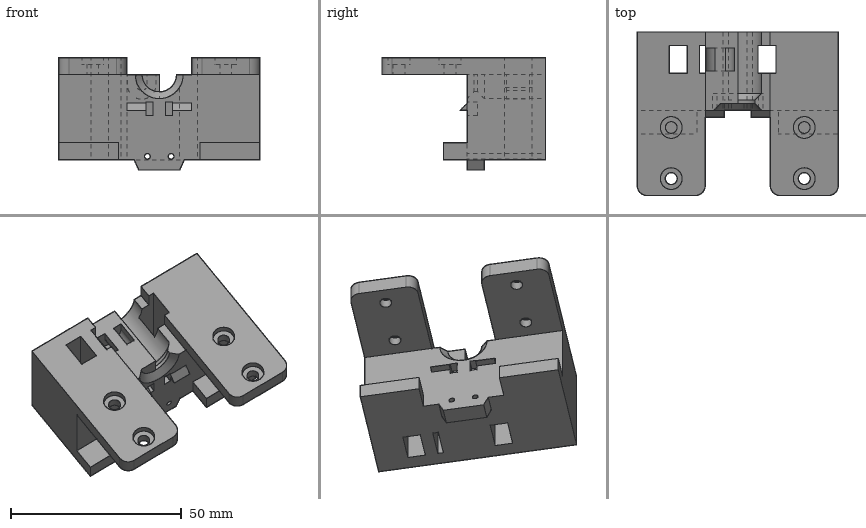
import cadquery as cq


WIDTH = 59.0
HEIGHT = 30.0
BODY_DEPTH = 23.0
ARM_LENGTH = 48.0
ARM_WIDTH = 20.0
ARM_THICKNESS = 5.0
ARM_CORNER_RADIUS = 3.0
ARM_INNER_X = WIDTH / 2 - ARM_WIDTH
SADDLE_Z = HEIGHT - ARM_THICKNESS

SCREW_X = WIDTH / 2 - ARM_WIDTH / 2
SCREW_DEPTHS = (28.0, 43.0)
SCREW_DIAMETER = 3.4
HEAD_DIAMETER = 6.4
HEAD_RECESS = 2.0

FOOT_WIDTH = 17.5
FOOT_LENGTH = 30.0
FOOT_HEIGHT = 5.0

TAB_TOP_WIDTH = 14.75
TAB_BOTTOM_WIDTH = 12.05
TAB_HEIGHT = 3.0
TAB_LENGTH = 5.0

PIN_X = 3.5
PIN_Z = 1.0
PIN_DIAMETER = 1.6

BORE_RADIUS = 7.0
NECK_RADIUS = 5.0
BORE_TAPER = BORE_RADIUS - NECK_RADIUS
NECK_LENGTH = 1.0
NECK_FRONT = BODY_DEPTH - BORE_TAPER
NECK_BACK = NECK_FRONT - NECK_LENGTH
BORE_LEFT_X = 0.1

WINDOW_BACK = 4.0
WINDOW_LENGTH = 8.1
WINDOW_WIDTH = 5.2
INNER_WINDOW_X = 5.95
OUTER_WINDOW_X = 14.85

CHANNEL_X = -5.15
CHANNEL_OUTER_RADIUS = 4.2
CHANNEL_INNER_RADIUS = 1.6
CHANNEL_BACK = 4.7
CHANNEL_LENGTH = 6.8
CHANNEL_LEG = 3.0

SLOT_INNER_X = 1.9
SLOT_WIDTH = 2.05
SLOT_HEIGHT = 4.0
SLOT_BOTTOM_Z = 13.0
SLOT_DEPTH = 3.0
WEDGE_INNER_X = SLOT_INNER_X + SLOT_WIDTH
WEDGE_BOTTOM_Z = 14.5
WEDGE_SIZE = 2.05


def block(x_min, x_max, back, front, z_min, z_max):
    """Box between two X values, two depths from the back face and two heights."""
    size = (x_max - x_min, front - back, z_max - z_min)
    return cq.Workplane("XY").box(*size, centered=False).translate((x_min, -front, z_min))


def both_sides(right_half):
    """A solid together with its mirror image across the middle of the part."""
    return right_half.union(right_half.mirror("YZ"))


def make_body():
    return block(-WIDTH / 2, WIDTH / 2, 0, BODY_DEPTH, 0, SADDLE_Z)


def make_arm():
    arm = block(ARM_INNER_X, WIDTH / 2, 0, ARM_LENGTH, SADDLE_Z, HEIGHT)
    arm = arm.edges("|Z and <Y").fillet(ARM_CORNER_RADIUS)
    return (
        arm.faces(">Z")
        .workplane(origin=(0, 0, HEIGHT))
        .pushPoints([(SCREW_X, -depth) for depth in SCREW_DEPTHS])
        .cboreHole(SCREW_DIAMETER, HEAD_DIAMETER, HEAD_RECESS, ARM_THICKNESS)
    )


def make_foot():
    return block(WIDTH / 2 - FOOT_WIDTH, WIDTH / 2, 0, FOOT_LENGTH, 0, FOOT_HEIGHT)


def make_tab():
    return (
        cq.Workplane("XZ", origin=(0, -BODY_DEPTH, 0))
        .moveTo(-TAB_TOP_WIDTH / 2, 0)
        .lineTo(TAB_TOP_WIDTH / 2, 0)
        .lineTo(TAB_BOTTOM_WIDTH / 2, -TAB_HEIGHT)
        .lineTo(-TAB_BOTTOM_WIDTH / 2, -TAB_HEIGHT)
        .close()
        .extrude(-TAB_LENGTH)
    )


def make_wedge():
    """Catch with a flat underside and a sloping top, proud of the front face."""
    return (
        cq.Workplane("YZ", origin=(WEDGE_INNER_X, 0, 0))
        .moveTo(-BODY_DEPTH, WEDGE_BOTTOM_Z)
        .lineTo(-BODY_DEPTH - WEDGE_SIZE, WEDGE_BOTTOM_Z)
        .lineTo(-BODY_DEPTH, WEDGE_BOTTOM_Z + WEDGE_SIZE)
        .close()
        .extrude(ARM_INNER_X - WEDGE_INNER_X)
    )


def make_bore():
    """Bore, neck and front countersink, leaving the left side solid behind the countersink."""
    turned = (
        cq.Workplane("XY")
        .moveTo(0, 0)
        .lineTo(BORE_RADIUS, 0)
        .lineTo(BORE_RADIUS, -(NECK_BACK - BORE_TAPER))
        .lineTo(NECK_RADIUS, -NECK_BACK)
        .lineTo(NECK_RADIUS, -NECK_FRONT)
        .lineTo(BORE_RADIUS, -BODY_DEPTH)
        .lineTo(0, -BODY_DEPTH)
        .close()
        .revolve(360, (0, 0, 0), (0, 1, 0))
        .translate((0, 0, SADDLE_Z))
    )
    solid_left = block(-BORE_RADIUS, BORE_LEFT_X, 0, NECK_FRONT, 0, HEIGHT + BORE_RADIUS)
    return turned.cut(solid_left)


def make_window(x_min, x_max):
    return block(x_min, x_max, WINDOW_BACK, WINDOW_BACK + WINDOW_LENGTH, 0, HEIGHT)


def make_channel_plug(radius):
    """Half-round bottomed plug, as wide as the given radius on either side."""
    return (
        cq.Workplane("XZ", origin=(CHANNEL_X, -CHANNEL_BACK, SADDLE_Z))
        .moveTo(-radius, 0)
        .lineTo(-radius, -CHANNEL_LEG)
        .threePointArc((0, -CHANNEL_LEG - radius), (radius, -CHANNEL_LEG))
        .lineTo(radius, 0)
        .close()
        .extrude(CHANNEL_LENGTH)
    )


def make_tie_channel():
    return make_channel_plug(CHANNEL_OUTER_RADIUS).cut(make_channel_plug(CHANNEL_INNER_RADIUS))


def make_slot():
    return block(
        SLOT_INNER_X,
        SLOT_INNER_X + SLOT_WIDTH,
        BODY_DEPTH - SLOT_DEPTH,
        BODY_DEPTH,
        SLOT_BOTTOM_Z,
        SLOT_BOTTOM_Z + SLOT_HEIGHT,
    )


def make_pin_hole():
    return (
        cq.Workplane("XZ", origin=(PIN_X, 0, PIN_Z))
        .circle(PIN_DIAMETER / 2)
        .extrude(BODY_DEPTH)
    )


result = make_body().union(make_tab())
for feature in (make_arm(), make_foot(), make_wedge()):
    result = result.union(both_sides(feature))

for feature in (make_slot(), make_pin_hole()):
    result = result.cut(both_sides(feature))

result = result.cut(make_bore()).cut(make_tie_channel())

window_spans = (
    (INNER_WINDOW_X, INNER_WINDOW_X + WINDOW_WIDTH),
    (-INNER_WINDOW_X - WINDOW_WIDTH, -ARM_INNER_X),
    (-OUTER_WINDOW_X - WINDOW_WIDTH, -OUTER_WINDOW_X),
)
for left_x, right_x in window_spans:
    result = result.cut(make_window(left_x, right_x))